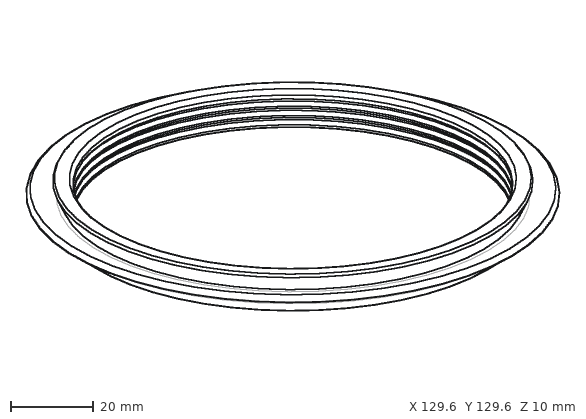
import cadquery as cq

outer_radius = 64.8
bore_radius = 53.4
height = 10.0

flange_top = 7.1
rim_round_width = 0.9
rim_round_height = 1.4
rim_round_radius = (rim_round_width**2 + rim_round_height**2) / (2 * rim_round_width)
rim_lower_round = 0.4
bottom_radius = 57.4
underside_edge_radius = 63.0
underside_edge_height = 4.4
flange_floor_height = 5.2
flange_floor_radius = 57.5

collar_root_radius = 56.3
collar_radius = 58.3
collar_lip_height = 0.8
collar_lip_inset = 0.4

mouth_radius = 54.3
mouth_depth = 0.1
mouth_taper_height = 1.3
groove_count = 3
groove_pitch = 2.5
groove_depth = 0.9
groove_height = 2.0
lowest_groove_bottom = 0.6


def make_flange():
    """Revolve the conical underside, the rounded rim and the dished upper face."""
    rim_widest = flange_top - rim_round_height
    profile = (
        cq.Workplane("XZ")
        .moveTo(bore_radius, 0)
        .lineTo(bottom_radius, 0)
        .lineTo(underside_edge_radius, underside_edge_height)
        .lineTo(outer_radius - rim_lower_round, rim_widest - rim_lower_round)
        .radiusArc((outer_radius, rim_widest), -rim_lower_round)
        .radiusArc((outer_radius - rim_round_width, flange_top), -rim_round_radius)
        .lineTo(flange_floor_radius, flange_floor_height)
        .lineTo(bore_radius, flange_floor_height)
        .close()
    )
    return profile.revolve(360, (0, 0, 0), (0, 1, 0))


def make_collar():
    """Revolve the collar, which flares outward and is dished towards the bore."""
    mouth_edge = height - mouth_depth
    profile = (
        cq.Workplane("XZ")
        .moveTo(bore_radius, flange_floor_height)
        .lineTo(collar_root_radius, flange_floor_height)
        .lineTo(collar_radius, height - collar_lip_height)
        .lineTo(collar_radius - collar_lip_inset, height)
        .lineTo(mouth_radius, mouth_edge)
        .lineTo(bore_radius, mouth_edge - mouth_taper_height)
        .close()
    )
    return profile.revolve(360, (0, 0, 0), (0, 1, 0))


def make_groove(bottom):
    """Ring cutter of V section, opening into the bore."""
    profile = (
        cq.Workplane("XZ")
        .moveTo(bore_radius, bottom)
        .lineTo(bore_radius + groove_depth, bottom + groove_height / 2)
        .lineTo(bore_radius, bottom + groove_height)
        .close()
    )
    return profile.revolve(360, (0, 0, 0), (0, 1, 0))


result = make_flange().union(make_collar())
for index in range(groove_count):
    result = result.cut(make_groove(lowest_groove_bottom + index * groove_pitch))